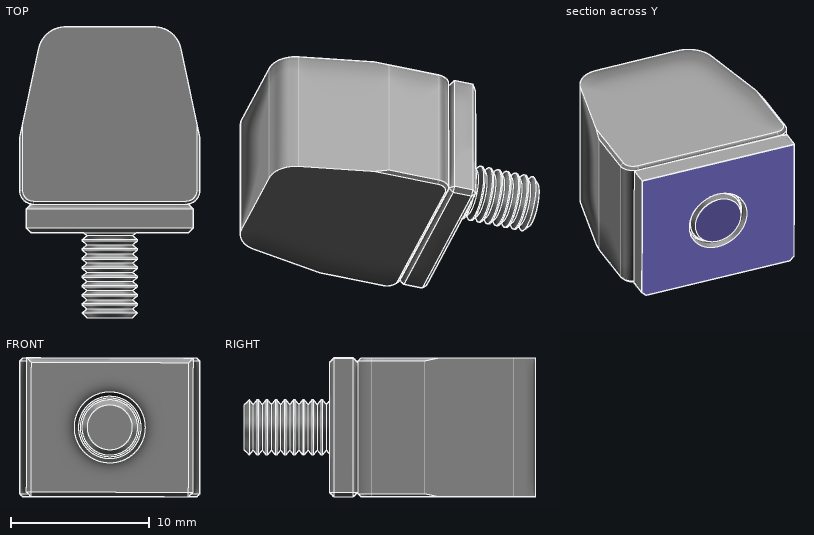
import cadquery as cq
import math


BLOCK_LENGTH = 12.8
BLOCK_WIDTH = 13.0
BLOCK_HEIGHT = 10.0
TAPER_LENGTH = 8.0
TAPER_ANGLE = 12.0
BACK_CORNER_RADIUS = 2.0
FRONT_CORNER_RADIUS = 1.0
BLOCK_CHAMFER = 0.22

PLATE_THICKNESS = 2.05
PLATE_WIDTH = 12.0
PLATE_HEIGHT = 10.0
PLATE_TURN = 0.2
PLATE_CHAMFER = 0.33
PLATE_HOLE_RADIUS = 2.25
COUNTERSINK = 0.31

STUD_PROJECTION = 6.15
CREST_RADIUS = 2.0
ROOT_RADIUS = 1.65
THREAD_PITCH = 0.66
CREST_FLAT = 0.1
GROOVE_COUNT = 10
TIP_CHAMFER = 0.38
SHANK_RADIUS = 2.12
SEAT_DEPTH = 4.0


def make_block():
    half_width = BLOCK_WIDTH / 2
    back_half_width = half_width - TAPER_LENGTH * math.tan(math.radians(TAPER_ANGLE))
    taper_start = BLOCK_LENGTH - TAPER_LENGTH
    body = (
        cq.Workplane("XY")
        .polyline([
            (-half_width, 0),
            (half_width, 0),
            (half_width, taper_start),
            (back_half_width, BLOCK_LENGTH),
            (-back_half_width, BLOCK_LENGTH),
            (-half_width, taper_start),
        ])
        .close()
        .extrude(BLOCK_HEIGHT / 2, both=True)
    )
    body = body.edges("|Z and >Y").fillet(BACK_CORNER_RADIUS)
    body = body.edges("|Z and <Y").fillet(FRONT_CORNER_RADIUS)

    front_zone = cq.selectors.BoxSelector(
        (-BLOCK_WIDTH, -BLOCK_LENGTH, -BLOCK_HEIGHT),
        (BLOCK_WIDTH, taper_start, BLOCK_HEIGHT),
    )
    body = body.edges("<Z or >Z").edges(front_zone).chamfer(BLOCK_CHAMFER)

    seat = cq.Workplane("XZ").circle(SHANK_RADIUS).extrude(-SEAT_DEPTH)
    return body.cut(seat)


def make_plate():
    plate = cq.Workplane("XY").box(PLATE_WIDTH, PLATE_THICKNESS, PLATE_HEIGHT)
    rims_and_bottom = plate.edges("<Y or >Y").add(plate.edges("|Y and <Z"))
    plate = rims_and_bottom.chamfer(PLATE_CHAMFER)
    plate = plate.translate((0, -PLATE_THICKNESS / 2, 0))

    hole = cq.Workplane("XZ").circle(PLATE_HOLE_RADIUS).extrude(PLATE_THICKNESS)
    mouth_radius = PLATE_HOLE_RADIUS + COUNTERSINK
    countersink = cq.Workplane("XY").polyline([
        (0, -PLATE_THICKNESS),
        (mouth_radius, -PLATE_THICKNESS),
        (0, -PLATE_THICKNESS + mouth_radius),
    ]).close().revolve(360, (0, 0), (0, 1))
    plate = plate.cut(hole).cut(countersink)
    return plate.rotate((0, 0, 0), (0, 1, 0), PLATE_TURN)


def make_stud():
    tip = -(PLATE_THICKNESS + STUD_PROJECTION)
    flank = (THREAD_PITCH - CREST_FLAT) / 2
    thread_start = tip + TIP_CHAMFER
    profile = [(0, tip), (CREST_RADIUS - TIP_CHAMFER, tip), (CREST_RADIUS, thread_start)]
    for index in range(GROOVE_COUNT):
        groove = thread_start + index * THREAD_PITCH
        profile += [
            (ROOT_RADIUS, groove + flank),
            (CREST_RADIUS, groove + 2 * flank),
            (CREST_RADIUS, groove + THREAD_PITCH),
        ]
    thread_end = thread_start + GROOVE_COUNT * THREAD_PITCH
    profile += [
        (SHANK_RADIUS, thread_end + SHANK_RADIUS - CREST_RADIUS),
        (SHANK_RADIUS, SEAT_DEPTH),
        (0, SEAT_DEPTH),
    ]
    return cq.Workplane("XY").polyline(profile).close().revolve(360, (0, 0), (0, 1))


block = make_block()
plate = make_plate()
stud = make_stud()

result = cq.Compound.makeCompound([block.val(), plate.val(), stud.val()])